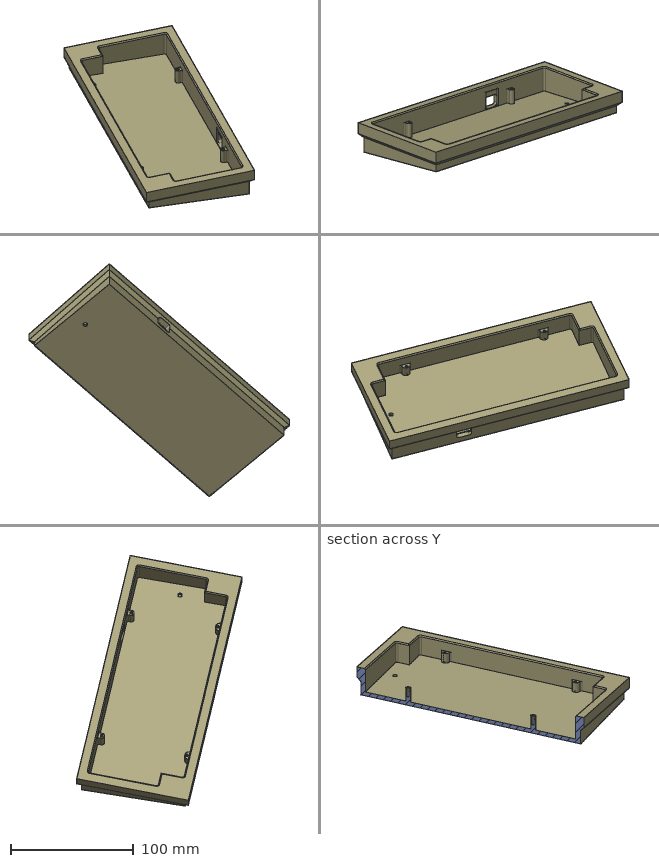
import cadquery as cq
import math

LENGTH = 207.55
WIDTH = 93.25
HEIGHT = 25.66

RIM_HEIGHT = 9.5
RIM_STEP = 3.25
BASE_TILT = 4.5

FLOOR_REAR_Z = 4.4
FLOOR_TILT = 2.75
CAVITY_LENGTH = 191.8
CAVITY_WIDTH = 77.3
NOTCH_LENGTH = 12.0
NOTCH_WIDTH = 19.0
CORNER_RADIUS = 1.5
MOUTH_CHAMFER = 1.0

POST_TOP_DEPTH = 9.0
POST_HOLE_DIAMETER = 1.62
POST_HOLE_DEPTH = 8.0
POST_HOLE_CHAMFER = 0.35
POST_HOLE_Y = 35.7
POST_FLARE_RADIUS = 1.0
REAR_POST_X = 57.1
REAR_POST_RADIUS = 2.3
FRONT_POST_X = 59.75
FRONT_POST_RADIUS = 3.5
FRONT_POST_CENTRE_Y = -37.7

FLOOR_HOLE_DIAMETER = 3.3
FLOOR_HOLE_X = 86.4
FLOOR_HOLE_Y = 1.3

PORT_X = 37.9
PORT_RECESS_LENGTH = 13.8
PORT_RECESS_HEIGHT = 14.5
PORT_RECESS_DEPTH = 1.3
PORT_SILL = 0.7
PORT_WINDOW_LENGTH = 13.0
PORT_WINDOW_HEIGHT = 9.5
PORT_WINDOW_RADIUS = 2.0

BASE_LENGTH = LENGTH - 2 * RIM_STEP
BASE_WIDTH = WIDTH - 2 * RIM_STEP
BASE_SLOPE = math.tan(math.radians(BASE_TILT))
FLOOR_SLOPE = math.tan(math.radians(FLOOR_TILT))
CAVITY_REAR_Y = CAVITY_WIDTH / 2
POST_TOP_Z = HEIGHT - POST_TOP_DEPTH


def underside_z(y):
    """Height of the tilted underside at a given Y; it reaches zero at the rear."""
    return (BASE_WIDTH / 2 - y) * BASE_SLOPE


def floor_z(y):
    """Height of the cavity floor, which rises toward the front less steeply than the underside."""
    return FLOOR_REAR_Z + (CAVITY_REAR_Y - y) * FLOOR_SLOPE


def above_plane(height_at):
    """Large block filling everything above a plane tilted about X."""
    profile = [
        (-WIDTH, height_at(-WIDTH)),
        (WIDTH, height_at(WIDTH)),
        (WIDTH, 2 * HEIGHT),
        (-WIDTH, 2 * HEIGHT),
    ]
    return cq.Workplane("YZ").polyline(profile).close().extrude(LENGTH, both=True)


def make_shell():
    """Solid outer body before it is hollowed out."""
    rim_z = HEIGHT - RIM_HEIGHT
    rim = cq.Workplane("XY").workplane(offset=rim_z).rect(LENGTH, WIDTH).extrude(RIM_HEIGHT)
    step = (
        cq.Workplane("XY").workplane(offset=rim_z - RIM_STEP).rect(BASE_LENGTH, BASE_WIDTH)
        .workplane(offset=RIM_STEP).rect(LENGTH, WIDTH)
        .loft(ruled=True)
    )
    base = cq.Workplane("XY").rect(BASE_LENGTH, BASE_WIDTH).extrude(rim_z)
    return rim.union(step).union(base.intersect(above_plane(underside_z)))


def make_cavity():
    """Notched pocket, open at the top, with a 45 degree mouth chamfer."""
    body = cq.Workplane("XY").rect(CAVITY_LENGTH, CAVITY_WIDTH).extrude(HEIGHT)
    for side in (-1, 1):
        notch = (
            cq.Workplane("XY")
            .center(side * CAVITY_LENGTH / 2, -CAVITY_REAR_Y)
            .rect(2 * NOTCH_LENGTH, 2 * NOTCH_WIDTH).extrude(HEIGHT)
        )
        body = body.cut(notch)
    end_x = CAVITY_LENGTH / 2
    notch_x = end_x - NOTCH_LENGTH
    notch_y = NOTCH_WIDTH - CAVITY_REAR_Y
    corners = [(end_x, CAVITY_REAR_Y), (end_x, notch_y), (notch_x, -CAVITY_REAR_Y)]
    for x, y in corners:
        for side in (-1, 1):
            corner = cq.selectors.NearestToPointSelector((side * x, y, HEIGHT / 2))
            body = body.edges(corner).fillet(CORNER_RADIUS)
    outline = body.faces(">Z").wires().vals()[0]
    flare = (
        cq.Workplane("XY").add(outline.offset2D(MOUTH_CHAMFER, "intersection")).toPending()
        .extrude(-MOUTH_CHAMFER, taper=45)
    )
    return body.union(flare).intersect(above_plane(floor_z))


def make_post(x, wall, tip_centre, radius):
    """Rib with a round tip, projecting from a cavity wall and flared where it meets that wall."""
    inward = math.copysign(1, tip_centre - wall)
    flare = POST_FLARE_RADIUS
    buried = wall - inward * flare
    flare_end = wall + inward * flare
    rib = (
        cq.Workplane("XY").moveTo(x - radius - flare, buried)
        .lineTo(x - radius - flare, wall)
        .radiusArc((x - radius, flare_end), -inward * flare)
        .lineTo(x - radius, tip_centre)
        .threePointArc((x, tip_centre + inward * radius), (x + radius, tip_centre))
        .lineTo(x + radius, flare_end)
        .radiusArc((x + radius + flare, wall), -inward * flare)
        .lineTo(x + radius + flare, buried)
        .close().extrude(POST_TOP_Z)
    )
    return rib.intersect(above_plane(underside_z))


def make_post_hole(x, y):
    """Blind screw hole with a chamfered mouth at the top of a post."""
    radius = POST_HOLE_DIAMETER / 2
    at_post_top = cq.Workplane("XY").workplane(offset=POST_TOP_Z).center(x, y)
    bore = at_post_top.circle(radius).extrude(-POST_HOLE_DEPTH)
    mouth = at_post_top.circle(radius + POST_HOLE_CHAMFER).extrude(-POST_HOLE_CHAMFER, taper=45)
    return bore.union(mouth)


def make_floor_hole():
    """Plain vertical hole, right through the floor."""
    return (
        cq.Workplane("XY").center(FLOOR_HOLE_X, FLOOR_HOLE_Y)
        .circle(FLOOR_HOLE_DIAMETER / 2).extrude(HEIGHT)
    )


def make_port():
    """Rectangular recess in the wall's inner face and a rounded window on through the wall."""
    sill_z = floor_z(CAVITY_REAR_Y) + PORT_SILL
    sill = cq.Workplane("XY").workplane(offset=sill_z).center(PORT_X, CAVITY_REAR_Y)
    recess = sill.rect(PORT_RECESS_LENGTH, 2 * PORT_RECESS_DEPTH).extrude(PORT_RECESS_HEIGHT)
    window = (
        sill.box(PORT_WINDOW_LENGTH, WIDTH / 2, PORT_WINDOW_HEIGHT, centered=(True, False, False))
        .edges("|Y").fillet(PORT_WINDOW_RADIUS)
    )
    return recess.union(window)


POSTS = [
    (REAR_POST_X, CAVITY_REAR_Y, POST_HOLE_Y, REAR_POST_RADIUS, POST_HOLE_Y),
    (FRONT_POST_X, -CAVITY_REAR_Y, FRONT_POST_CENTRE_Y, FRONT_POST_RADIUS, -POST_HOLE_Y),
]

result = make_shell().cut(make_cavity())
for post_x, wall_y, tip_y, tip_radius, hole_y in POSTS:
    for x in (-post_x, post_x):
        result = result.union(make_post(x, wall_y, tip_y, tip_radius))
        result = result.cut(make_post_hole(x, hole_y))
result = result.cut(make_floor_hole()).cut(make_port())